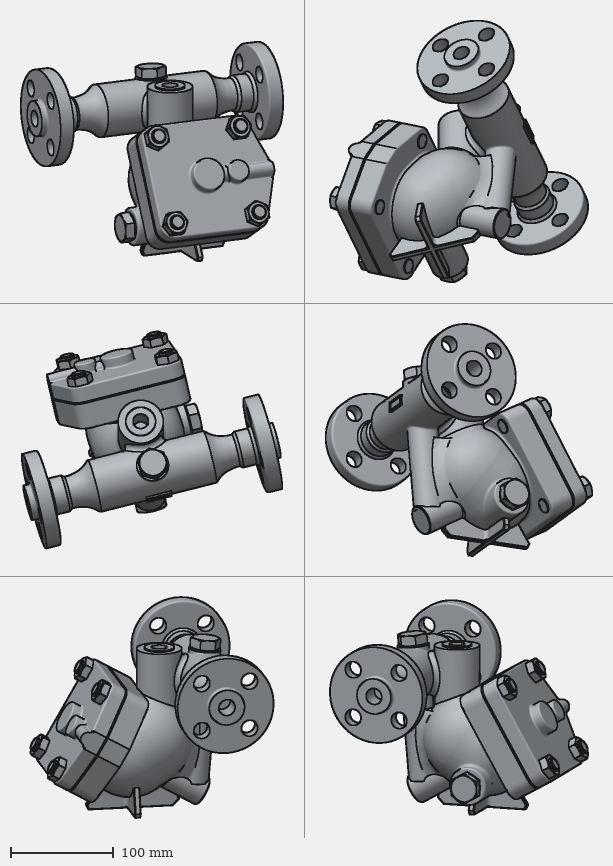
import cadquery as cq
import math

face_to_face = 250.0
half_length = face_to_face / 2
flange_dia = 95.0
flange_thickness = 14.8
flange_edge_fillet = 2.0
raised_face_dia = 34.9
raised_face_height = 6.5
raised_face_root = 2.0
flange_hole_dia = 16.0
flange_hole_circle = 66.7
flange_hole_count = 4
flange_hole_start = 45.0
flange_hole_reach = raised_face_height + flange_thickness + 1.0
bore_dia = 16.0
bore_depth = 25.0
hub_dia = 36.3
hub_root_fillet = 2.0
hub_root_y = 100.2
hub_end_y = 87.3
neck_dia = 32.0
neck_outer_y = 84.2
neck_inner_y = 79.4
reducer_dia = 35.0
reducer_start_y = 72.2
barrel_dia = 52.0
barrel_half_length = 58.0
reducer_end_dia = 50.0
reducer_end_y = 59.6
reducer_bulge_dia = 40.5
reducer_bulge_y = 65.5

plate_length = 25.0
plate_height = 10.0
plate_rise = 1.7
plate_frame = 1.3
plate_recess = 1.0

leg_lean = 5.0
leg_dia = 30.0
leg_length = 106.0
plug_boss_dia = 31.0
plug_boss_end = 26.5

plug_across_flats = 26.0
plug_head_height = 10.0
plug_collar_height = 1.3
plug_collar_dia = 26.0
plug_chamfer_rise = 1.0

inlet_x = 42.8
inlet_dia = 44.0
inlet_top_z = 29.0
inlet_ring_dia = 29.0
inlet_ring_rise = 1.5
inlet_hole_dia = 15.0
inlet_hole_depth = 25.0
inlet_bottom_z = -70.0
inlet_root_fillet = 8.0
inlet_saddle_fillet = 5.0
inlet_saddle_half_length = 40.0
inlet_saddle_half_height = 25.0

cover_tilt = 30.0
cover_up = -98.0
joint_out = 73.0
gasket_thickness = 1.3
gasket_inset = 0.8
body_flange_out = 47.5
cover_face_out = 90.3
cover_edge_fillet = 2.0
bolt_half_pitch = 43.6
cover_corner_radius = 13.5
nose_y = 70.3
nose_half_width = 10.0

stud_dia = 14.0
stud_tip_dia = 12.0
stud_tip_chamfer = (stud_dia - stud_tip_dia) / 2
stud_end_out = 101.4
stud_tail_out = 46.3
nut_across_flats = 21.0
nut_height = 8.2
nut_chamfer_rise = 0.8
hex_half_step = 30.0

cover_boss_top_out = 101.0
main_boss_dia = 32.0
small_boss_dia = 21.0
small_boss_y = 31.8
boss_edge_fillet = 1.5
boss_root_fillet = 2.0
ridge_radius = 7.0
ridge_root_fillet = 2.0

body_radius = 46.0
body_x = 72.2
body_z = -71.6
body_stretch = 19.3
body_rise_angle = 33.0

plug_boss_root_fillet = 1.5
leg_root_fillet = 2.0
leg_web_fillet = 19.0
leg_web_top_z = -34.0
strainer_web_fillet = 6.0
drain_root_fillet = 3.0
flange_root_fillet = 2.5
core_margin = 0.5
meeting_tolerance = 0.001

strainer_up = -101.0
strainer_end_out = -58.2
strainer_dia = 29.5
boss_edge_chamfer = 0.8
drain_x = body_x
drain_z = -98.5
drain_boss_dia = 37.0
drain_boss_end_y = -55.0
drain_edge_fillet = 1.6

foot_z = -129.0
foot_thickness = 6.0
foot_edge_chamfer = 0.8
foot_cross_fillet = 4.0
foot_toe_x = 30.0
foot_toe_reach = 6.5
foot_heel_x = 113.0
foot_toe_rise = 4.5
foot_top_x = 99.5
foot_top_z = -100.0
foot_half_width = 44.0
foot_half_top = 36.5


slant = cq.Plane(
    origin=(0, 0, 0),
    xDir=(0, 1, 0),
    normal=(math.cos(math.radians(cover_tilt)), 0, math.sin(math.radians(cover_tilt))),
)


def slanted(out):
    """Workplane square to the cover axis; its local x is Y and its local y runs up the cover."""
    return cq.Workplane(slant).workplane(offset=out)


def slanted_cylinder(y, up, dia, start, end):
    return slanted(start).center(y, up).circle(dia / 2).extrude(end - start)


def chamfered_hex(across_flats, height, chamfer_rise):
    """Hexagon along +Z from z=0, flats square to Y, with the corners of its top turned off."""
    across_corners = across_flats / math.cos(math.pi / 6)
    hexagon = cq.Workplane("XY").polygon(6, across_corners).extrude(height)
    land = across_flats / 2
    slope = (across_corners - across_flats) / 2 / chamfer_rise
    reach = land + slope * height
    turning = (
        cq.Workplane("XZ")
        .polyline([(0, 0), (reach, 0), (land, height), (0, height)])
        .close()
        .revolve(360, (0, 0), (0, 1))
    )
    return hexagon.intersect(turning)


def blended(base, addition, radius):
    """Union of two solids with a fillet along the edges where their surfaces meet."""
    joined = base.union(addition)
    skins = base.val().Shells() + addition.val().Shells()

    def on_both(edge):
        probe = cq.Vertex.makeVertex(*edge.positionAt(0.5).toTuple())
        return all(probe.distance(skin) < meeting_tolerance for skin in skins)

    return joined.newObject([edge for edge in joined.edges().vals() if on_both(edge)]).fillet(radius)


def placed(shape, plane):
    """Shape moved from the origin onto a plane."""
    return cq.Workplane(obj=shape.val().moved(plane.location))


def flow_line_half():
    """Half of the turned flow line, from the middle out to the +Y face."""
    face_y = half_length - raised_face_height
    back_y = face_y - flange_thickness
    profile = (
        cq.Workplane("XY")
        .moveTo(0, 0)
        .lineTo(barrel_dia / 2, 0)
        .lineTo(barrel_dia / 2, barrel_half_length)
        .lineTo(reducer_end_dia / 2, reducer_end_y)
        .threePointArc((reducer_bulge_dia / 2, reducer_bulge_y), (reducer_dia / 2, reducer_start_y))
        .lineTo(neck_dia / 2, neck_inner_y)
        .lineTo(neck_dia / 2, neck_outer_y)
        .lineTo(hub_dia / 2, hub_end_y)
        .lineTo(hub_dia / 2, hub_root_y)
        .lineTo(hub_dia / 2 + hub_root_fillet, back_y)
        .lineTo(flange_dia / 2 - flange_edge_fillet, back_y)
        .radiusArc((flange_dia / 2, back_y + flange_edge_fillet), -flange_edge_fillet)
        .lineTo(flange_dia / 2, face_y)
        .lineTo(raised_face_dia / 2 + raised_face_root, face_y)
        .radiusArc((raised_face_dia / 2, face_y + raised_face_root), raised_face_root)
        .lineTo(raised_face_dia / 2, half_length)
        .lineTo(0, half_length)
        .close()
    )
    return profile.revolve(360, (0, 0), (0, 1))


def flow_line():
    half = flow_line_half()
    return half.union(half.mirror("XZ"))


def flange_cuts():
    """Bolt holes of the +Y flange and the blind bore of that end."""
    bolt_holes = (
        cq.Workplane("XZ", origin=(0, half_length, 0))
        .polarArray(flange_hole_circle / 2, flange_hole_start, 360, flange_hole_count)
        .circle(flange_hole_dia / 2)
        .extrude(flange_hole_reach)
    )
    bore = cq.Workplane("XZ", origin=(0, half_length, 0)).circle(bore_dia / 2).extrude(bore_depth)
    return bolt_holes.union(bore)


def direction_plate():
    face_x = -barrel_dia / 2 - plate_rise
    depth = barrel_dia / 4
    plate = cq.Workplane("YZ", origin=(face_x, 0, 0)).rect(plate_length, plate_height).extrude(depth)
    recess = (
        cq.Workplane("YZ", origin=(face_x, 0, 0))
        .rect(plate_length - 2 * plate_frame, plate_height - 2 * plate_frame)
        .extrude(plate_recess)
    )
    return plate.cut(recess)


lean_sin = math.sin(math.radians(leg_lean))
lean_cos = math.cos(math.radians(leg_lean))
leg_up = cq.Plane(origin=(0, 0, 0), xDir=(lean_cos, 0, lean_sin), normal=(-lean_sin, 0, lean_cos))


def leg(dia=leg_dia):
    return cq.Workplane(leg_up).circle(dia / 2).extrude(-leg_length)


def plug_boss():
    return cq.Workplane(leg_up).circle(plug_boss_dia / 2).extrude(plug_boss_end)


def hex_plug():
    """Plug along +Z: thin collar, then the hexagon head."""
    collar = cq.Workplane("XY").circle(plug_collar_dia / 2).extrude(plug_collar_height)
    head = chamfered_hex(plug_across_flats, plug_head_height, plug_chamfer_rise)
    return collar.union(head.translate((0, 0, plug_collar_height)))


def strainer_boss(dia=strainer_dia):
    boss = slanted_cylinder(0, strainer_up, dia, strainer_end_out, 0)
    return boss.faces(cq.selectors.DirectionMinMaxSelector(slant.zDir, False)).chamfer(boss_edge_chamfer)


body_axis = cq.Vector(-math.cos(math.radians(body_rise_angle)), 0, math.sin(math.radians(body_rise_angle)))
lower_centre = cq.Vector(body_x, 0, body_z)
upper_centre = lower_centre + body_axis * body_stretch


def body(radius=body_radius):
    """Two equal balls joined by a tangent cylinder that rises towards the barrel."""
    link = cq.Workplane(obj=cq.Solid.makeCylinder(radius, body_stretch, lower_centre, body_axis))
    ball = cq.Workplane("XY").sphere(radius)
    return link.union(ball.translate(lower_centre)).union(ball.translate(upper_centre))


def core_ball(centre):
    """Ball just under the body surface, from which a filleted web can grow."""
    return cq.Workplane("XY").sphere(body_radius - core_margin / 2).translate(centre)


def leg_web():
    """Wide fillet between the leg and the body, ending below the root of the inlet boss."""
    web = blended(core_ball(upper_centre), leg(leg_dia - core_margin), leg_web_fillet)
    reach = 4 * body_radius
    lower_space = cq.Workplane("XY", origin=(0, 0, leg_web_top_z)).rect(reach, reach).extrude(-reach)
    return web.intersect(lower_space)


def strainer_web():
    return blended(core_ball(lower_centre), strainer_boss(strainer_dia - core_margin), strainer_web_fillet)


def inlet_boss(dia=inlet_dia):
    return (
        cq.Workplane("XY", origin=(inlet_x, 0, inlet_bottom_z))
        .circle(dia / 2)
        .extrude(inlet_top_z - inlet_bottom_z)
    )


def inlet_saddle():
    """Fillet between the inlet boss and the barrel, on cores just under both surfaces."""
    core = (
        cq.Workplane("XZ")
        .circle((barrel_dia - core_margin) / 2)
        .extrude(inlet_saddle_half_length, both=True)
    )
    stub = (
        cq.Workplane("XY", origin=(inlet_x, 0, 0))
        .circle((inlet_dia - core_margin) / 2)
        .extrude(inlet_saddle_half_height, both=True)
    )
    return blended(core, stub, inlet_saddle_fillet)


def inlet_ring():
    return (
        cq.Workplane("XY", origin=(inlet_x, 0, inlet_top_z))
        .circle(inlet_ring_dia / 2)
        .extrude(inlet_ring_rise)
    )


def inlet_hole():
    top_z = inlet_top_z + inlet_ring_rise
    return (
        cq.Workplane("XY", origin=(inlet_x, 0, top_z))
        .circle(inlet_hole_dia / 2)
        .extrude(-inlet_hole_depth)
    )


def drain_boss():
    boss = (
        cq.Workplane("XZ", origin=(drain_x, 0, drain_z))
        .circle(drain_boss_dia / 2)
        .extrude(-drain_boss_end_y)
    )
    return boss.faces("<Y").edges().fillet(drain_edge_fillet)


def foot():
    """Web along X and web across Y, crossing under the body and filleted where they cross."""
    along = (
        cq.Workplane("XZ")
        .polyline([
            (foot_toe_x, foot_z),
            (foot_heel_x, foot_z),
            (foot_heel_x + foot_toe_rise / 2, foot_z + foot_toe_rise),
            (foot_top_x, foot_top_z),
            (foot_toe_x, foot_top_z),
            (foot_toe_x - foot_toe_reach, foot_z + foot_toe_reach),
        ])
        .close()
        .extrude(foot_thickness / 2, both=True)
        .faces("|Y")
        .chamfer(foot_edge_chamfer)
    )
    half = foot_half_width
    across = (
        cq.Workplane("YZ", origin=(body_x, 0, 0))
        .polyline([
            (foot_toe_rise / 2 - half, foot_z),
            (half - foot_toe_rise / 2, foot_z),
            (half, foot_z + foot_toe_rise),
            (foot_half_top, foot_top_z),
            (-foot_half_top, foot_top_z),
            (-half, foot_z + foot_toe_rise),
        ])
        .close()
        .extrude(foot_thickness / 2, both=True)
        .faces("|X")
        .chamfer(foot_edge_chamfer)
    )
    cross = along.union(across)
    corners = cq.selectors.BoxSelector(
        (body_x - foot_thickness, -foot_thickness, foot_z),
        (body_x + foot_thickness, foot_thickness, foot_top_z),
    )
    return cross.edges("|Z").edges(corners).fillet(foot_cross_fillet)


bolt_spots = [
    (y, cover_up + up)
    for y in (-bolt_half_pitch, bolt_half_pitch)
    for up in (-bolt_half_pitch, bolt_half_pitch)
]


def cover_outline(out):
    """Square with rounded corners whose +Y side runs out to a blunt nose."""
    radius = cover_corner_radius
    edge = bolt_half_pitch + radius
    run = nose_y - bolt_half_pitch
    rise = bolt_half_pitch - nose_half_width
    turn = math.acos(radius / math.hypot(run, rise)) - math.atan2(rise, run)
    tangent_y = bolt_half_pitch + radius * math.cos(turn)
    tangent_up = bolt_half_pitch + radius * math.sin(turn)
    middle = (turn + math.pi / 2) / 2
    arc_y = bolt_half_pitch + radius * math.cos(middle)
    arc_up = bolt_half_pitch + radius * math.sin(middle)
    return (
        slanted(out)
        .center(0, cover_up)
        .moveTo(nose_y, -nose_half_width)
        .lineTo(nose_y, nose_half_width)
        .lineTo(tangent_y, tangent_up)
        .threePointArc((arc_y, arc_up), (bolt_half_pitch, edge))
        .lineTo(-bolt_half_pitch, edge)
        .radiusArc((-edge, bolt_half_pitch), -radius)
        .lineTo(-edge, -bolt_half_pitch)
        .radiusArc((-bolt_half_pitch, -edge), -radius)
        .lineTo(bolt_half_pitch, -edge)
        .threePointArc((arc_y, -arc_up), (tangent_y, -tangent_up))
        .close()
    )


back_most = cq.selectors.DirectionMinMaxSelector(slant.zDir, False)
front_most = cq.selectors.DirectionMinMaxSelector(slant.zDir, True)


def body_flange():
    plate = cover_outline(body_flange_out).extrude(joint_out - body_flange_out)
    return plate.faces(back_most).edges().fillet(cover_edge_fillet)


def flange_root():
    """Body flange with a fillet running down onto a core just under the body surface."""
    return blended(body(body_radius - core_margin / 2), body_flange(), flange_root_fillet)


def gasket():
    return cover_outline(joint_out).offset2D(-gasket_inset).extrude(gasket_thickness)


def cover_boss(y, dia):
    boss = slanted_cylinder(y, cover_up, dia, joint_out + cover_edge_fillet, cover_boss_top_out)
    return boss.faces(front_most).edges().fillet(boss_edge_fillet)


def ridge():
    """Half-round ridge with filleted roots, from the cover middle to the tip of its nose."""
    section = cq.Plane(
        origin=slant.toWorldCoords((0, cover_up, cover_face_out)), xDir=slant.yDir, normal=(0, 1, 0)
    )
    root = ridge_root_fillet
    foot_half = math.sqrt((ridge_radius + root) ** 2 - root**2)
    joint = ridge_radius / (ridge_radius + root)
    joint_half = foot_half * joint
    joint_rise = root * joint
    return (
        cq.Workplane(section)
        .moveTo(-foot_half, -root)
        .lineTo(-foot_half, 0)
        .radiusArc((-joint_half, joint_rise), -root)
        .threePointArc((0, ridge_radius), (joint_half, joint_rise))
        .radiusArc((foot_half, 0), -root)
        .lineTo(foot_half, -root)
        .close()
        .extrude(nose_y)
    )


def cover():
    start = joint_out + gasket_thickness
    plate = cover_outline(start).extrude(cover_face_out - start)
    plate = plate.faces(front_most).edges().fillet(cover_edge_fillet)
    plate = blended(plate, cover_boss(0, main_boss_dia), boss_root_fillet)
    plate = blended(plate, cover_boss(small_boss_y, small_boss_dia), boss_root_fillet)
    return plate.union(ridge())


def stud_and_nut(y, up, corner_along_y):
    """Stud through cover and body flange, with its nut on the cover face."""
    stud = slanted_cylinder(y, up, stud_dia, stud_tail_out, stud_end_out)
    stud = stud.faces(front_most).chamfer(stud_tip_chamfer)
    nut = chamfered_hex(nut_across_flats, nut_height, nut_chamfer_rise)
    if not corner_along_y:
        nut = nut.rotate((0, 0, 0), (0, 0, 1), hex_half_step)
    seat = cq.Plane(
        origin=slant.toWorldCoords((y, up, cover_face_out)), xDir=slant.xDir, normal=slant.zDir
    )
    return stud.union(placed(nut, seat))


pipework = blended(flow_line(), plug_boss(), plug_boss_root_fillet)
pipework = blended(pipework, leg(), leg_root_fillet)
casting = blended(body(), inlet_boss(inlet_dia - core_margin), inlet_root_fillet)
casting = blended(casting, drain_boss(), drain_root_fillet)
casting = casting.union(leg_web()).union(strainer_web()).union(strainer_boss()).union(pipework)
casting = casting.union(inlet_saddle()).union(inlet_boss()).union(foot())
result = casting.union(flange_root()).union(gasket()).union(cover())
for y, up in bolt_spots:
    result = result.union(stud_and_nut(y, up, corner_along_y=y * (up - cover_up) > 0))
leg_seat = cq.Plane(origin=leg_up.toWorldCoords((0, 0, plug_boss_end)), xDir=leg_up.xDir, normal=leg_up.zDir)
result = result.union(placed(hex_plug(), leg_seat))
drain_seat = cq.Plane(origin=(drain_x, drain_boss_end_y, drain_z), xDir=(0, 0, 1), normal=(0, -1, 0))
result = result.union(placed(hex_plug(), drain_seat))
result = result.union(direction_plate()).union(inlet_ring())
end_cuts = flange_cuts()
result = result.cut(inlet_hole()).cut(end_cuts).cut(end_cuts.mirror("XZ"))